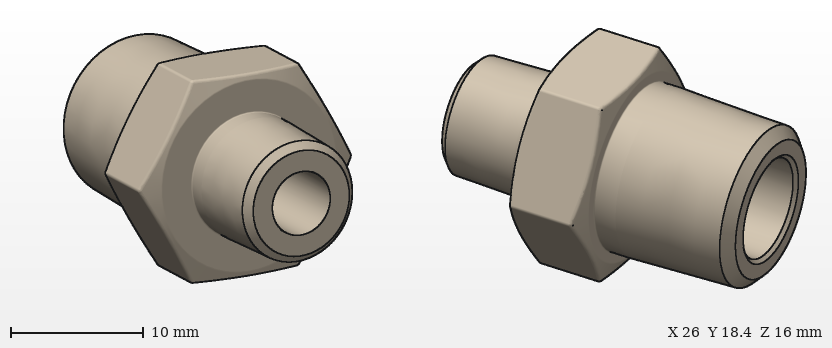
import cadquery as cq
import math

ACROSS_FLATS = 16.01
HEX_START = 11.5
HEX_END = 18.0
HEX_EDGE_RADIUS = 0.3
BEVEL_DIAMETER = 15.1
BEVEL_ANGLE = 20.0
SEAM_ANGLE = 15.0

TAPER = 1 / 16
ROOT_RADIUS = 0.1

LARGE_DIAMETER = 13.39
LARGE_FACE_DIAMETER = 11.0
LARGE_CHAMFER_LENGTH = 0.85
LARGE_TAPER_END = 9.65
LARGE_TIP_DIAMETER = LARGE_DIAMETER - (LARGE_TAPER_END - LARGE_CHAMFER_LENGTH) * TAPER

LENGTH = 26.0
SMALL_DIAMETER = 9.88
SMALL_FACE_DIAMETER = 8.3
SMALL_CHAMFER_LENGTH = 0.6
SMALL_TAPER_START = 19.45
SMALL_TAPER_LENGTH = LENGTH - SMALL_CHAMFER_LENGTH - SMALL_TAPER_START
SMALL_TIP_DIAMETER = SMALL_DIAMETER - SMALL_TAPER_LENGTH * TAPER

THROUGH_DIAMETER = 5.0
BORE_DIAMETER = 8.0
BORE_DEPTH = 10.0
BORE_TIP_ANGLE = 30.0
BORE_MOUTH_DIAMETER = 8.6
BORE_MOUTH_DEPTH = 0.3


def revolve_about_x(profile):
    """Turn a list of (x, diameter) stations into a solid of revolution about X."""
    outline = [(x, diameter / 2) for x, diameter in profile]
    closed = [(profile[0][0], 0)] + outline + [(profile[-1][0], 0)]
    return cq.Workplane("XY").polyline(closed).close().revolve(360, (0, 0, 0), (1, 0, 0))


def hexagon():
    """Hexagon with corners on Y, bevelled at both ends and rounded along its edges."""
    across_corners = ACROSS_FLATS / math.cos(math.radians(30))
    prism = (
        cq.Workplane("YZ")
        .workplane(offset=HEX_START)
        .polygon(6, across_corners)
        .extrude(HEX_END - HEX_START)
    )
    envelope_diameter = across_corners + 1
    bevel_length = (envelope_diameter - BEVEL_DIAMETER) / 2 * math.tan(math.radians(BEVEL_ANGLE))
    envelope = revolve_about_x([
        (HEX_START, BEVEL_DIAMETER),
        (HEX_START + bevel_length, envelope_diameter),
        (HEX_END - bevel_length, envelope_diameter),
        (HEX_END, BEVEL_DIAMETER),
    ])
    envelope = envelope.rotate((0, 0, 0), (1, 0, 0), SEAM_ANGLE)
    return prism.intersect(envelope).faces("%PLANE").edges().fillet(HEX_EDGE_RADIUS)


def taper_ends():
    """Both tapered ends, each with a straight collar beside the hexagon."""
    hex_middle = (HEX_START + HEX_END) / 2
    return revolve_about_x([
        (0, LARGE_FACE_DIAMETER),
        (LARGE_CHAMFER_LENGTH, LARGE_TIP_DIAMETER),
        (LARGE_TAPER_END, LARGE_DIAMETER),
        (hex_middle, LARGE_DIAMETER),
        (hex_middle, SMALL_DIAMETER),
        (SMALL_TAPER_START, SMALL_DIAMETER),
        (LENGTH - SMALL_CHAMFER_LENGTH, SMALL_TIP_DIAMETER),
        (LENGTH, SMALL_FACE_DIAMETER),
    ])


def bore():
    """Through hole, larger from the X = 0 end, with a chamfered mouth."""
    step = (BORE_DIAMETER - THROUGH_DIAMETER) / 2
    cone_length = step / math.tan(math.radians(BORE_TIP_ANGLE / 2))
    return revolve_about_x([
        (0, BORE_MOUTH_DIAMETER),
        (BORE_MOUTH_DEPTH, BORE_DIAMETER),
        (BORE_DEPTH, BORE_DIAMETER),
        (BORE_DEPTH + cone_length, THROUGH_DIAMETER),
        (LENGTH, THROUGH_DIAMETER),
    ])


def round_root(body, x, diameter):
    """Fillet the circular corner where a collar of the given diameter meets the hexagon at x."""
    reach = diameter / 2 + ROOT_RADIUS
    corner = cq.selectors.BoxSelector(
        (x - ROOT_RADIUS, -reach, -reach),
        (x + ROOT_RADIUS, reach, reach),
        boundingbox=True,
    )
    return body.edges(corner).fillet(ROOT_RADIUS)


body = hexagon().union(taper_ends())
body = round_root(body, HEX_START, LARGE_DIAMETER)
body = round_root(body, HEX_END, SMALL_DIAMETER)
result = body.cut(bore())